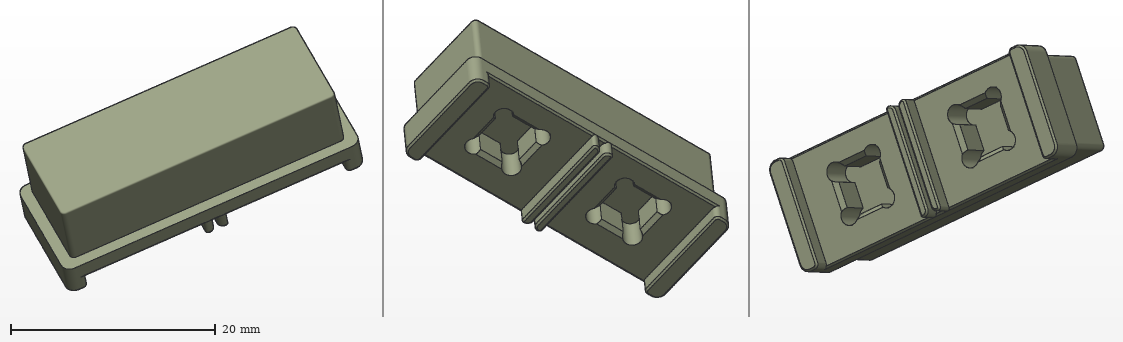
import cadquery as cq

roll_about_y = 33.4
pitch_about_x = 20

plate_length = 32.02
plate_width = 11.7
plate_thickness = 2.0
plate_corner_radius = 1
underside_chamfer = 0.2

block_end_inset = 1.2
block_left_inset = 0.6
block_right_inset = 1.15
block_height = 7.15
block_length = plate_length - 2 * block_end_inset
block_width = plate_width - block_left_inset - block_right_inset
block_x = (block_left_inset - block_right_inset) / 2
block_corner_radius = 0.5
block_top_radius = 0.17

foot_height = 1.72
end_foot_length = 2.0
middle_foot_length = 0.98
middle_foot_gap = 0.45
end_foot_inner_radius = 0.5
middle_foot_outer_radius = 0.3
middle_foot_inner_radius = 0.65
foot_chamfer = 0.2

socket_spacing = 15.05
socket_size = 5.07
socket_chamfer = 0.47
socket_depth = 3.38
relief_radius = 0.98
relief_offset = 2.3


def rounded_bar(length, width, height, corner_radius):
    """Bar centred on the origin in plan, standing on Z = 0, with rounded upright edges."""
    return (
        cq.Workplane("XY")
        .box(width, length, height, centered=(True, True, False))
        .edges("|Z")
        .fillet(corner_radius)
    )


def block():
    bar = rounded_bar(block_length, block_width, block_height, block_corner_radius)
    return bar.faces(">Z").edges().fillet(block_top_radius).translate((block_x, 0, plate_thickness))


def plate():
    bar = rounded_bar(plate_length, plate_width, plate_thickness, plate_corner_radius)
    return bar.faces("<Z").edges().chamfer(underside_chamfer)


def foot(length, distance, side, outer_radius, inner_radius):
    """Foot centred at the given distance along Y on one side, reaching up into the plate."""
    bar = cq.Workplane("XY").box(plate_width, length, foot_height + plate_thickness, centered=(True, True, False))
    bar = bar.edges("|Z and >Y").fillet(outer_radius)
    bar = bar.edges("|Z and <Y").fillet(inner_radius)
    bar = bar.faces("<Z").edges().chamfer(foot_chamfer)
    bar = bar.translate((0, distance, -foot_height))
    return bar if side > 0 else bar.mirror("XZ")


def socket(y_center):
    """Solid to cut away for one socket."""
    square = cq.Workplane("XY").box(socket_size, socket_size, socket_depth, centered=(True, True, False))
    mouth_size = socket_size + 2 * socket_chamfer
    mouth = (
        cq.Workplane("XY")
        .rect(mouth_size, mouth_size)
        .workplane(offset=socket_chamfer)
        .rect(socket_size, socket_size)
        .loft()
    )
    reliefs = (
        cq.Workplane("XY")
        .rect(2 * relief_offset, 2 * relief_offset, forConstruction=True)
        .vertices()
        .circle(relief_radius)
        .extrude(socket_depth)
    )
    return square.union(mouth).union(reliefs).translate((block_x, y_center, 0))


body = plate().union(block())

end_foot_y = (plate_length - end_foot_length) / 2
middle_foot_y = (middle_foot_gap + middle_foot_length) / 2
for side in (-1, 1):
    body = body.union(foot(end_foot_length, end_foot_y, side, plate_corner_radius, end_foot_inner_radius))
    body = body.union(
        foot(middle_foot_length, middle_foot_y, side, middle_foot_outer_radius, middle_foot_inner_radius)
    )
    body = body.cut(socket(side * socket_spacing / 2))

plate_center = (0, 0, 0)
result = body.rotate(plate_center, (0, 1, 0), roll_about_y).rotate(plate_center, (1, 0, 0), pitch_about_x)